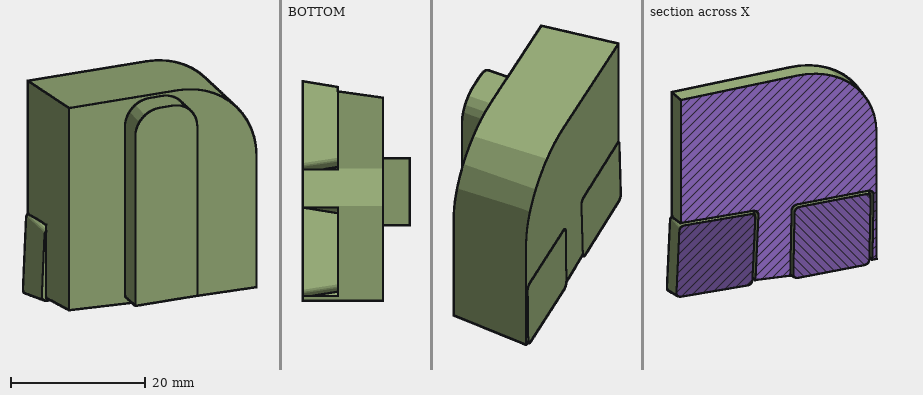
import cadquery as cq
import math

block_thickness = 12.0
block_depth = 32.0
block_top = 35.8
back_corner_radius = 12.78
front_relief_angle = 8.0
bottom_relief_angle = 4.3

bottom_back_height = 0.85
rear_bend_y = -14.1
rear_bend_height = 1.1
front_bend_y = -19.7
front_bend_height = 1.6
bottom_front_height = 2.2

key_height = 4.0
key_width = 10.02
key_corner_radius = 4.0
key_center_y = -16.3
key_bottom = 3.8
key_top = 35.3

insert_side = 13.17
insert_thickness = 5.25
insert_corner_radius = 0.85
insert_relief_angle = 9.0
insert_seats = [
    (-7.23, 6.7, -1.1),
    (-25.95, 7.55, -2.5),
]

cut_margin = 3.58


def make_block():
    """Plain block with a large rounded upper back corner."""
    block = cq.Workplane("YZ").rect(block_depth, block_top).extrude(block_thickness)
    block = block.translate((0, -block_depth / 2, block_top / 2))
    return block.edges("|X and >Y and >Z").fillet(back_corner_radius)


def make_bottom_cutter():
    """Region below the bent bottom, swept obliquely so the bottom rises with X."""
    back_y = cut_margin
    front_y = -block_depth - cut_margin
    back_slope = (rear_bend_height - bottom_back_height) / rear_bend_y
    front_slope = (bottom_front_height - front_bend_height) / (-block_depth - front_bend_y)
    outline = cq.Wire.makePolygon(
        [
            cq.Vector(0, back_y, -cut_margin),
            cq.Vector(0, back_y, bottom_back_height + back_slope * back_y),
            cq.Vector(0, rear_bend_y, rear_bend_height),
            cq.Vector(0, front_bend_y, front_bend_height),
            cq.Vector(0, front_y, bottom_front_height - front_slope * cut_margin),
            cq.Vector(0, front_y, -cut_margin),
        ],
        close=True,
    )
    rise = block_thickness * math.tan(math.radians(bottom_relief_angle))
    sweep = cq.Vector(block_thickness, 0, rise)
    return cq.Workplane(cq.Solid.extrudeLinear(outline, [], sweep))


def make_front_cutter():
    """Wedge that slopes the front face back as X increases."""
    setback = block_thickness * math.tan(math.radians(front_relief_angle))
    return (
        cq.Workplane("XY")
        .moveTo(0, -block_depth)
        .lineTo(block_thickness, -block_depth + setback)
        .lineTo(block_thickness, -block_depth)
        .close()
        .extrude(block_top)
    )


def make_key():
    """Upright key with a rounded top and a square bottom."""
    key_length = key_top - key_bottom
    key = cq.Workplane("YZ").rect(key_width, key_length).extrude(key_height)
    key = key.edges("|X and >Z").fillet(key_corner_radius)
    return key.translate((block_thickness, key_center_y, (key_top + key_bottom) / 2))


def place_in_seat(shape, seat):
    """Rotate a centered shape about X and move it to its seat."""
    center_y, center_z, angle = seat
    return shape.rotate((0, 0, 0), (1, 0, 0), angle).translate((0, center_y, center_z))


def make_pocket(seat):
    """Straight-walled recess that holds one insert."""
    pocket = cq.Workplane("YZ").rect(insert_side, insert_side).extrude(insert_thickness)
    pocket = pocket.edges("|X").fillet(insert_corner_radius)
    return place_in_seat(pocket, seat)


def make_insert(seat):
    """Square insert whose rounded sides taper inward from the X = 0 face."""
    insert = (
        cq.Workplane("YZ")
        .rect(insert_side, insert_side)
        .extrude(insert_thickness, taper=insert_relief_angle)
        .edges("not (#X)")
        .fillet(insert_corner_radius)
    )
    return place_in_seat(insert, seat)


def make_housing():
    """Block with relieved front and bottom, the key, and the insert pockets."""
    housing = make_block().cut(make_bottom_cutter()).cut(make_front_cutter())
    housing = housing.union(make_key())
    for seat in insert_seats:
        housing = housing.cut(make_pocket(seat))
    return housing


housing = make_housing()
inserts = [make_insert(seat).val() for seat in insert_seats]

result = cq.Compound.makeCompound([housing.solids().val(), *inserts])